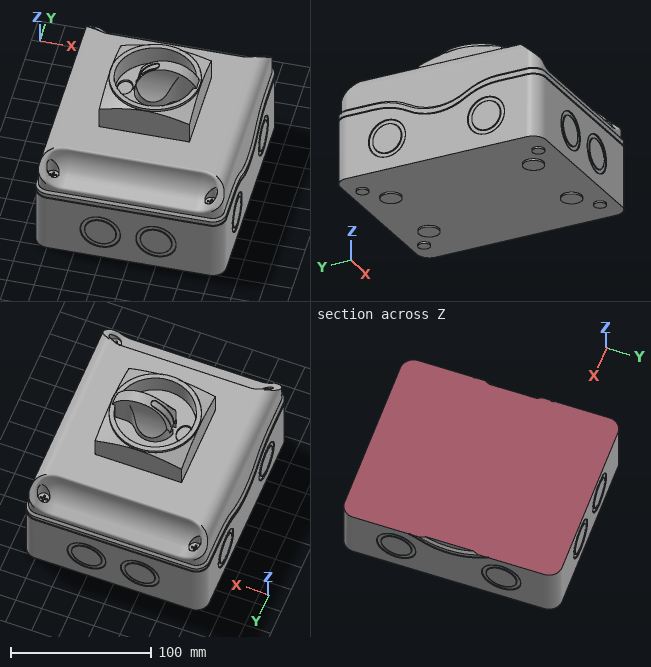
import cadquery as cq
import math

tolerance = 0.002

base_x = 140.0
base_y = 165.0
base_corner = 10.0
flange_top = 56.0
flange_chamfer = 1.8

dip_half_width = 49.3
dip_depth = 13.7
dip_inflection = 22.6

joint_drop = 5.6
joint_height = 0.5
joint_depth = 0.5

lid_inset = 1.8
lid_x = base_x - 2 * lid_inset
lid_y = base_y - 2 * lid_inset
lid_corner = base_corner - lid_inset
lid_top = 80.5
lid_edge_radius = 10.0
lid_end_bevel_y = 18.2
lid_end_bevel_z = 16.5
lid_bevel_blend = 5.0

scoop_radius = 17.8
scoop_half_straight = 48.5
scoop_axis_y = 78.4
scoop_axis_z = 79.5
scoop_slope = 21.0
scoop_reach = 33.0
scoop_rim_radius = 1.8

screw_x = 58.0
screw_y = 70.5
screw_radius = 4.5
screw_head_z = 62.4
cross_length = 5.3
cross_width = 1.0
cross_depth = 1.0

knockout_z = 24.8
knockout_outer = 14.8
knockout_inner = 11.4
knockout_wall_lean = 0.3
knockout_depth = 0.7
knockout_x_offset = 20.5
knockout_y_offset = 39.8

foot_height = 1.3
feet = [(29.7, 57.3, 16.0), (48.2, 70.6, 9.2)]

housing_side = 66.3
housing_top = 106.3
collar_height = 2.0
collar_radius = 33.0
collar_bottom = housing_top - collar_height
corner_drop = 6.3
well_radius = 29.4
well_floor = 90.9
oval_x = -22.3
oval_x_radius = 5.6
oval_y_radius = 7.3
oval_depth = 1.6

handle_top = 119.6
handle_dome_radius = 23.6
handle_dome_x = 10.0
grip_half_width = 4.6
grip_end_x = 31.4
knob_radius = 15.0
grip_blend_x = 21.3
side_scoop_radius = 33.0
pointer_width = 5.3
pointer_end_x = 3.0
pointer_depth = 0.7


def rounded_block(size_x, size_y, corner, bottom, top):
    block = cq.Workplane("XY").workplane(offset=bottom).rect(size_x, size_y).extrude(top - bottom)
    return block.edges("|Z").fillet(corner)


def below_rim(rim_z):
    """Solid below the dipped rim line, running through the whole width."""
    arc_sum = (dip_half_width**2 + dip_depth**2) / (2 * dip_depth)
    valley_radius = arc_sum * dip_inflection / dip_half_width
    shoulder_radius = arc_sum - valley_radius
    valley_z = rim_z - dip_depth
    inflection_z = valley_z + dip_depth * dip_inflection / dip_half_width
    half_angle = math.asin(dip_inflection / valley_radius) / 2
    mid_y = dip_half_width - shoulder_radius * math.sin(half_angle)
    mid_z = rim_z - shoulder_radius * (1 - math.cos(half_angle))
    outline = (
        cq.Workplane("YZ", origin=(-base_x / 2, 0, 0))
        .moveTo(-base_y / 2, 0)
        .lineTo(-base_y / 2, rim_z)
        .lineTo(-dip_half_width, rim_z)
        .threePointArc((-mid_y, mid_z), (-dip_inflection, inflection_z))
        .threePointArc((0, valley_z), (dip_inflection, inflection_z))
        .threePointArc((mid_y, mid_z), (dip_half_width, rim_z))
        .lineTo(base_y / 2, rim_z)
        .lineTo(base_y / 2, 0)
        .close()
    )
    return outline.extrude(base_x)


def make_base():
    block = rounded_block(base_x, base_y, base_corner, 0, lid_top)
    base = block.intersect(below_rim(flange_top))
    rim_zone = cq.selectors.BoxSelector(
        (-base_x, -base_y, flange_top - dip_depth - 1.6),
        (base_x, base_y, flange_top + 1.6),
    )
    rim_edges = base.edges("not(|X or |Z)").edges(rim_zone)
    long_rims = base.edges("|X").edges(rim_zone).edges("<Y or >Y")
    return rim_edges.add(long_rims).chamfer(flange_chamfer)


def make_joint_groove():
    band = below_rim(flange_top - joint_drop).cut(below_rim(flange_top - joint_drop - joint_height))
    core = rounded_block(
        base_x - 2 * joint_depth,
        base_y - 2 * joint_depth,
        base_corner - joint_depth,
        0,
        lid_top,
    )
    return band.cut(core)


def make_scoop():
    """Recess tool at the -Y end: a ball-ended trough opening outward and slightly down."""
    axis = cq.Workplane("XY", origin=(0, -scoop_axis_y, scoop_axis_z))
    trough = axis.transformed(rotate=(90 + scoop_slope, 0, 0))
    length = 2 * (scoop_half_straight + scoop_radius)
    tool = trough.slot2D(length, 2 * scoop_radius).extrude(scoop_reach)
    rod = cq.Workplane("YZ", origin=(-scoop_half_straight, -scoop_axis_y, scoop_axis_z))
    tool = tool.union(rod.circle(scoop_radius).extrude(2 * scoop_half_straight))
    for side in (-1, 1):
        center = (side * scoop_half_straight, -scoop_axis_y, scoop_axis_z)
        ball = cq.Workplane("XY").sphere(scoop_radius).rotate((0, 0, 0), (0, 0, 1), 90 + 90 * side)
        tool = tool.union(ball.translate(center))
    return tool


def shared_edges(body, first, second):
    """Edges of body whose middle lies on the skins of both other solids."""

    def touches(edge, solid):
        middle = cq.Vertex.makeVertex(*edge.positionAt(0.5).toTuple())
        return solid.val().Shells()[0].distance(middle) < tolerance

    edges = [e for e in body.edges().vals() if touches(e, first) and touches(e, second)]
    return body.newObject(edges)


def make_lid():
    bottom = flange_top - dip_depth - joint_drop
    plan = rounded_block(lid_x, lid_y, lid_corner, bottom, lid_top)
    bar = cq.Workplane("XY").box(lid_x, lid_y, 2 * lid_top)
    long_sides = bar.edges(">Z and |Y").fillet(lid_edge_radius)
    short_sides = bar.edges(">Z and |X").chamfer(lid_end_bevel_z, lid_end_bevel_y)
    short_sides = short_sides.edges("|X and (not <Z)").fillet(lid_bevel_blend)
    lid = plan.intersect(long_sides).intersect(short_sides)
    for scoop in (make_scoop(), make_scoop().mirror("XZ")):
        scooped = lid.cut(scoop)
        lid = shared_edges(scooped, lid, scoop).fillet(scoop_rim_radius)
    return lid


def make_screw_recess(x, y):
    hole = cq.Workplane("XY", origin=(x, y, screw_head_z)).circle(screw_radius)
    recess = hole.extrude(lid_top - screw_head_z)
    cross = cq.Workplane("XY", origin=(x, y, screw_head_z - cross_depth))
    for length_x, length_y in ((cross_length, cross_width), (cross_width, cross_length)):
        recess = recess.union(cross.rect(length_x, length_y).extrude(2 * cross_depth))
    return recess


def make_knockout():
    """Ring tool around the Y axis with leaning walls; Y = 0 is the wall surface."""
    return (
        cq.Workplane("XY")
        .moveTo(knockout_inner, 0)
        .lineTo(knockout_inner + knockout_wall_lean, knockout_depth)
        .lineTo(knockout_outer - knockout_wall_lean, knockout_depth)
        .lineTo(knockout_outer, 0)
        .close()
        .revolve(360, (0, 0, 0), (0, 1, 0))
    )


def make_housing():
    block = cq.Workplane("XY").rect(housing_side, housing_side).extrude(housing_top)
    block = block.intersect(cq.Workplane("XY").workplane(offset=lid_top - 1.6).rect(163.4, 163.4).extrude(163.4))
    corner_radius = housing_side / math.sqrt(2)
    crown = (
        cq.Workplane("XZ")
        .lineTo(corner_radius, 0)
        .lineTo(corner_radius, collar_bottom - corner_drop)
        .lineTo(collar_radius, collar_bottom)
        .lineTo(collar_radius, housing_top)
        .lineTo(0, housing_top)
        .close()
        .revolve(360, (0, 0, 0), (0, 1, 0))
    )
    well = cq.Workplane("XY").workplane(offset=well_floor).circle(well_radius).extrude(handle_top)
    oval = (
        cq.Workplane("XY", origin=(oval_x, 0, well_floor - oval_depth))
        .ellipse(oval_x_radius, oval_y_radius)
        .extrude(2 * oval_depth)
    )
    return block.intersect(crown).cut(well).cut(oval)


def make_handle():
    blend_radius = (grip_blend_x**2 + grip_half_width**2 - knob_radius**2) / (
        2 * (knob_radius - grip_half_width)
    )
    blend_y = grip_half_width + blend_radius
    touch = knob_radius / (knob_radius + blend_radius)
    touch_x = grip_blend_x * touch
    touch_y = blend_y * touch
    mid_angle = (math.atan2(touch_y - blend_y, touch_x - grip_blend_x) - math.pi / 2) / 2
    mid_x = grip_blend_x + blend_radius * math.cos(mid_angle)
    mid_y = blend_y + blend_radius * math.sin(mid_angle)
    height = handle_top - well_floor
    plan = (
        cq.Workplane("XY", origin=(0, 0, well_floor))
        .moveTo(grip_end_x, -grip_half_width)
        .lineTo(grip_end_x, grip_half_width)
        .lineTo(grip_blend_x, grip_half_width)
        .threePointArc((mid_x, mid_y), (touch_x, touch_y))
        .threePointArc((-knob_radius, 0), (touch_x, -touch_y))
        .threePointArc((mid_x, -mid_y), (grip_blend_x, -grip_half_width))
        .close()
        .extrude(height)
    )
    dome_z = handle_top - handle_dome_radius
    dome = (
        cq.Workplane("XZ", origin=(handle_dome_x, knob_radius, dome_z))
        .circle(handle_dome_radius)
        .extrude(2 * knob_radius)
    )
    drum = cq.Workplane("XY").circle(knob_radius).extrude(dome_z)
    dome = dome.union(drum)
    handle = plan.intersect(dome)
    for side in (-1, 1):
        side_scoop = (
            cq.Workplane("YZ", origin=(-2 * knob_radius, 0, 0))
            .center(side * (grip_half_width + side_scoop_radius), handle_top)
            .circle(side_scoop_radius)
            .extrude(4 * knob_radius)
        )
        handle = handle.cut(side_scoop)
    pointer = (
        cq.Workplane("XY", origin=(pointer_end_x - grip_end_x / 2, 0, well_floor))
        .slot2D(grip_end_x, pointer_width)
        .extrude(height)
    )
    sunken_dome = (
        cq.Workplane("XZ", origin=(handle_dome_x, knob_radius, handle_top - handle_dome_radius))
        .circle(handle_dome_radius - pointer_depth)
        .extrude(2 * knob_radius)
    )
    return handle.cut(pointer.cut(sunken_dome))


result = make_base().union(make_lid()).cut(make_joint_groove())
front_ring = make_knockout().translate((0, -base_y / 2, knockout_z))
side_ring = make_knockout().rotate((0, 0, 0), (0, 0, 1), -90).translate((-base_x / 2, 0, knockout_z))
for side_x in (-1, 1):
    front_pair = front_ring.translate((side_x * knockout_x_offset, 0, 0))
    side_pair = side_ring.translate((0, side_x * knockout_y_offset, 0))
    result = result.cut(front_pair).cut(front_pair.mirror("XZ"))
    result = result.cut(side_pair).cut(side_pair.mirror("YZ"))
    for side_y in (-1, 1):
        result = result.cut(make_screw_recess(side_x * screw_x, side_y * screw_y))
        for foot_x, foot_y, foot_diameter in feet:
            foot = cq.Workplane("XY", origin=(side_x * foot_x, side_y * foot_y, -foot_height))
            result = result.union(foot.circle(foot_diameter / 2).extrude(foot_height))

result = result.union(make_housing()).union(make_handle())